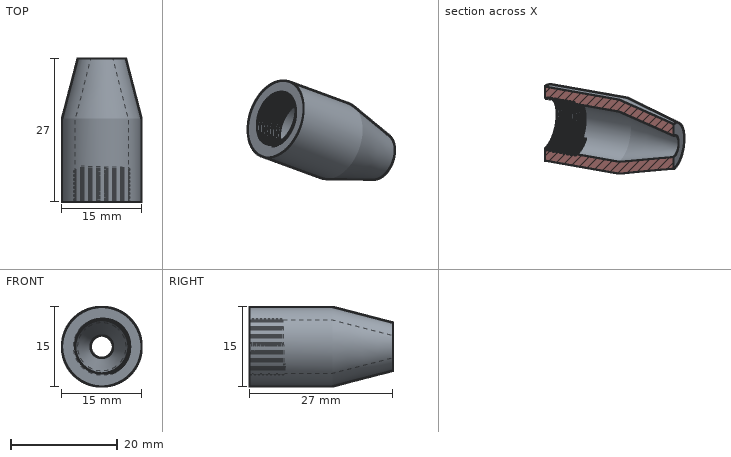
import cadquery as cq

length = 27.0
body_radius = 7.5
body_length = 15.6
tip_radius = 4.54
bore_radius = 5.0
outlet_radius = 2.08

pitch = 0.75
thread_depth = 0.35
groove_mouth = 0.85 * pitch
groove_root = 0.125 * pitch
thread_start = -1.5 * pitch
turns = 10
mouth_overlap = 0.05
opening_angle = 40
start_angle = -opening_angle - 180


def revolved_about_y(points):
    """Revolve a closed (radius, Y) outline around the Y axis."""
    return cq.Workplane("ZY").polyline(points).close().revolve(360, (0, 0, 0), (0, 1, 0))


def sleeve():
    """Cylindrical body with a tapered tip, bored through with a matching inner taper."""
    return revolved_about_y([
        (bore_radius, 0),
        (body_radius, 0),
        (body_radius, body_length),
        (tip_radius, length),
        (outlet_radius, length),
        (bore_radius, body_length),
    ])


def end_face(points):
    """Flat face closing one end of the thread cutter."""
    return cq.Face.makeFromWires(cq.Wire.makePolygon(points, close=True))


def thread_cutter():
    """Helical trapezoid that cuts the groove, built turn by turn and laid along Y."""
    flank_spread = (groove_mouth - groove_root) / 2 / thread_depth
    inner_half = groove_mouth / 2 + flank_spread * mouth_overlap
    root_half = groove_root / 2
    inner_radius = bore_radius - mouth_overlap
    root_radius = bore_radius + thread_depth
    profile = [
        (inner_radius, -inner_half),
        (root_radius, -root_half),
        (root_radius, root_half),
        (inner_radius, inner_half),
    ]
    faces = [end_face([cq.Vector(radius, 0, height) for radius, height in profile])]
    for turn in range(turns):
        helices = [
            cq.Wire.makeHelix(pitch, pitch, radius).translate(cq.Vector(0, 0, height + turn * pitch))
            for radius, height in profile
        ]
        edges = [helix.Edges()[0] for helix in helices]
        for index, edge in enumerate(edges):
            faces.append(cq.Face.makeRuledSurface(edges[index - 1], edge))
    faces.append(end_face([cq.Vector(radius, 0, height + turns * pitch) for radius, height in profile]))
    cutter = cq.Solid.makeSolid(cq.Shell.makeShell(faces)).fix()
    return (
        cq.Workplane(cutter)
        .rotate((0, 0, 0), (0, 0, 1), start_angle)
        .rotate((0, 0, 0), (1, 0, 0), -90)
        .translate((0, thread_start, 0))
    )


result = sleeve().cut(thread_cutter())